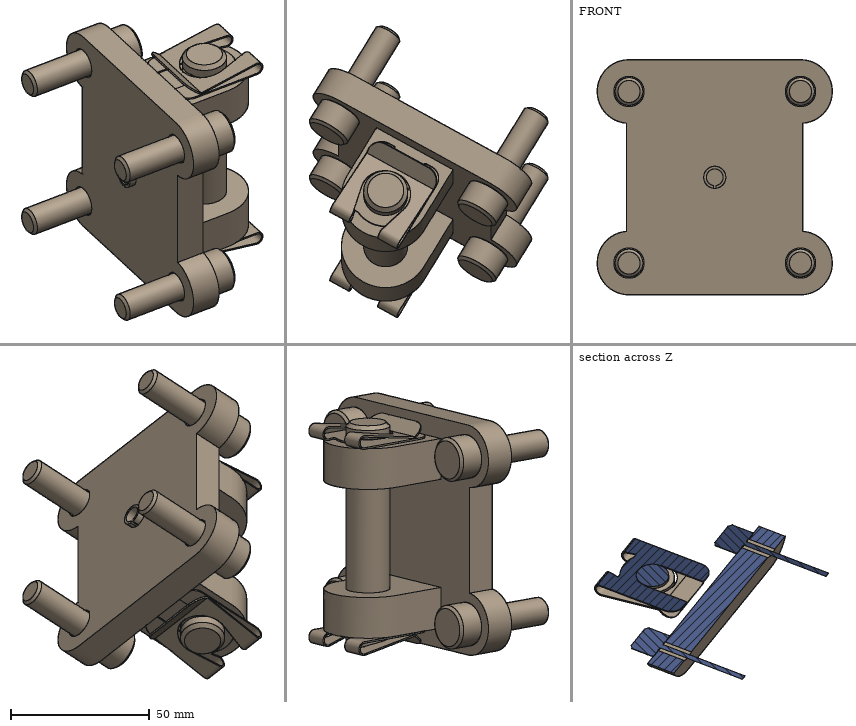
import cadquery as cq
import math

plate_size = 85.0
plate_thickness = 11.0
plate_body_width = 63.75
screw_pitch = 62.0
lobe_radius = (plate_size - screw_pitch) / 2
screw_hole_diameter = 11.0

lug_radius = 16.0
lug_inner_z = 20.0
lug_outer_z = 35.0
pin_standoff = 21.0

pin_diameter = 16.0
pin_length = 83.0
pin_chamfer = 1.45
groove_diameter = 12.0
groove_width = 1.8

screw_diameter = 10.0
screw_length = 35.0
screw_head_diameter = 16.0
screw_head_height = 9.8
screw_chamfer = 1.0
screw_seat_chamfer = 0.25

spring_pin_diameter = 8.0
spring_pin_bore = 6.0
spring_pin_slit = 1.0
spring_pin_depth = 8.0
spring_pin_protrusion = 2.6

clip_width = 28.0
clip_sheet = 0.6
clip_lug_gap = 0.5
clip_loop_radius = 2.55
clip_loop_reach = 16.15
clip_foot_reach = 17.8
clip_bend_reach = 10.5
clip_bend_gap = 0.1
clip_lip_length = 6.8
clip_lip_angle = math.radians(40)
clip_corner_radius = 5.0
clip_mouth_radius = 0.7
clip_loop_window = 12.0
clip_eye_radius = 9.0
clip_bridge_radius = 11.8
clip_bridge_reach = 10.5

screw_spots = [
    (sx * screw_pitch / 2, sz * screw_pitch / 2) for sx in (-1, 1) for sz in (-1, 1)
]
pin_axis_y = plate_thickness + pin_standoff
clip_bottom_z = lug_outer_z + clip_lug_gap
clip_loop_y = clip_loop_reach - clip_loop_radius
clip_loop_z = clip_bottom_z + clip_loop_radius


def cylinder_y(diameter, y_start, y_end, x=0.0, z=0.0):
    """Cylinder along Y from y_start to y_end."""
    axis = cq.Vector(0, 1, 0)
    solid = cq.Solid.makeCylinder(diameter / 2, y_end - y_start, cq.Vector(x, y_start, z), axis)
    return cq.Workplane(obj=solid)


def make_lug(z_bottom):
    """Lug on the back of the plate with a full round around the pin axis."""
    return (
        cq.Workplane("XY", origin=(0, 0, z_bottom))
        .moveTo(-lug_radius, plate_thickness)
        .lineTo(-lug_radius, pin_axis_y)
        .threePointArc((0, pin_axis_y + lug_radius), (lug_radius, pin_axis_y))
        .lineTo(lug_radius, plate_thickness)
        .close()
        .extrude(lug_outer_z - lug_inner_z)
    )


def make_bracket():
    """Plate with corner lobes, two pin lugs and all mating holes."""
    core_height = screw_pitch - lobe_radius
    plate = cq.Workplane("XY").box(
        plate_body_width, plate_thickness, core_height, centered=(True, False, True)
    )
    full_height_strip = cq.Workplane("XY").box(
        screw_pitch, plate_thickness, plate_size, centered=(True, False, True)
    )
    plate = plate.union(full_height_strip)
    for x, z in screw_spots:
        plate = plate.union(cylinder_y(2 * lobe_radius, 0, plate_thickness, x, z))

    bracket = plate.union(make_lug(lug_inner_z)).union(make_lug(-lug_outer_z))
    for x, z in screw_spots:
        bracket = bracket.cut(cylinder_y(screw_hole_diameter, 0, plate_thickness, x, z))
    bracket = bracket.cut(cylinder_y(spring_pin_diameter, 0, spring_pin_depth))
    pin_bore = (
        cq.Workplane("XY", origin=(0, pin_axis_y, 0))
        .circle(pin_diameter / 2)
        .extrude(lug_outer_z, both=True)
    )
    return bracket.cut(pin_bore)


def make_hinge_pin():
    """Chamfered pin with a clip groove just outside each lug."""
    pin = (
        cq.Workplane("XY")
        .circle(pin_diameter / 2)
        .extrude(pin_length / 2, both=True)
        .faces("<Z or >Z")
        .chamfer(pin_chamfer)
    )
    for groove_z in (lug_outer_z, -lug_outer_z - groove_width):
        groove = (
            cq.Workplane("XY", origin=(0, 0, groove_z))
            .circle(pin_diameter / 2)
            .circle(groove_diameter / 2)
            .extrude(groove_width)
        )
        pin = pin.cut(groove)
    return pin.translate((0, pin_axis_y, 0))


def make_screw(x, z):
    """Cap screw through the plate, its head on the back face."""
    head = (
        cylinder_y(screw_head_diameter, plate_thickness, plate_thickness + screw_head_height)
        .faces(">Y")
        .chamfer(screw_chamfer)
        .faces("<Y")
        .chamfer(screw_seat_chamfer)
    )
    shank = (
        cylinder_y(screw_diameter, plate_thickness - screw_length, plate_thickness)
        .faces("<Y")
        .chamfer(screw_chamfer)
    )
    return head.union(shank).translate((x, 0, z))


def make_spring_pin():
    """Slit tube pressed into the middle of the plate, slit on the -Z side."""
    outer_radius = spring_pin_diameter / 2
    inner_radius = spring_pin_bore / 2
    half_slit = spring_pin_slit / 2
    outer_z = -math.sqrt(outer_radius**2 - half_slit**2)
    inner_z = -math.sqrt(inner_radius**2 - half_slit**2)
    return (
        cq.Workplane("XZ", origin=(0, spring_pin_depth, 0))
        .moveTo(-half_slit, inner_z)
        .lineTo(-half_slit, outer_z)
        .threePointArc((0, outer_radius), (half_slit, outer_z))
        .lineTo(half_slit, inner_z)
        .threePointArc((0, inner_radius), (-half_slit, inner_z))
        .close()
        .extrude(spring_pin_depth + spring_pin_protrusion)
    )


def make_folded_sheet():
    """Side profile of the clip, folded over the loop, across the full clip width."""
    inner_radius = clip_loop_radius - clip_sheet
    sheet_top_z = clip_bottom_z + clip_sheet
    bend = cq.Vector(-clip_bend_reach, sheet_top_z + clip_bend_gap)
    loop_center = cq.Vector(clip_loop_y, clip_loop_z)

    to_loop = loop_center - bend
    leaf_angle = math.atan2(to_loop.y, to_loop.x) + math.asin(inner_radius / to_loop.Length)
    leaf_normal = cq.Vector(-math.sin(leaf_angle), math.cos(leaf_angle))
    lip_normal = cq.Vector(math.sin(clip_lip_angle), math.cos(clip_lip_angle))
    lip_direction = cq.Vector(-math.cos(clip_lip_angle), math.sin(clip_lip_angle))

    miter = clip_sheet / (1 + leaf_normal.dot(lip_normal))
    upper_bend = bend + (leaf_normal + lip_normal) * miter
    lip_end = bend + lip_direction * clip_lip_length
    upper_lip_end = lip_end + lip_normal * clip_sheet
    outer_tangent = loop_center + leaf_normal * clip_loop_radius
    inner_tangent = loop_center + leaf_normal * inner_radius

    sheet = (
        cq.Workplane("YZ", origin=(-clip_width / 2, 0, 0))
        .moveTo(-clip_foot_reach, clip_bottom_z)
        .lineTo(clip_loop_y, clip_bottom_z)
        .threePointArc((clip_loop_reach, clip_loop_z), (outer_tangent.x, outer_tangent.y))
        .lineTo(upper_bend.x, upper_bend.y)
        .lineTo(upper_lip_end.x, upper_lip_end.y)
        .lineTo(lip_end.x, lip_end.y)
        .lineTo(bend.x, bend.y)
        .lineTo(inner_tangent.x, inner_tangent.y)
        .threePointArc((clip_loop_reach - clip_sheet, clip_loop_z), (clip_loop_y, sheet_top_z))
        .lineTo(-clip_foot_reach, sheet_top_z)
        .close()
        .extrude(clip_width)
    )
    lip_edge_direction = cq.Vector(0, lip_normal.x, lip_normal.y)
    lip_corners = cq.selectors.ParallelDirSelector(lip_edge_direction)
    return sheet.edges("|Z").fillet(clip_corner_radius).edges(lip_corners).fillet(clip_corner_radius)


def make_keyhole(z_bottom, height):
    """Loop window widening in straight flanks to the round eye around the pin."""
    half_window = clip_loop_window / 2
    corner_distance = math.hypot(half_window, clip_loop_y)
    tangent_angle = math.atan2(clip_loop_y, half_window) - math.acos(clip_eye_radius / corner_distance)
    tangent_x = clip_eye_radius * math.cos(tangent_angle)
    tangent_y = clip_eye_radius * math.sin(tangent_angle)
    return (
        cq.Workplane("XY", origin=(0, 0, z_bottom))
        .moveTo(-half_window, clip_loop_reach)
        .lineTo(-half_window, clip_loop_y)
        .lineTo(-tangent_x, tangent_y)
        .threePointArc((0, -clip_eye_radius), (tangent_x, tangent_y))
        .lineTo(half_window, clip_loop_y)
        .lineTo(half_window, clip_loop_reach)
        .close()
        .extrude(height)
    )


def make_clip():
    """Spring clip on the upper pin groove."""
    upper_leaf_z = clip_bottom_z + clip_sheet
    upper_opening = make_keyhole(upper_leaf_z, 2 * clip_loop_radius)

    shoulder_block = (
        cq.Workplane("XY", origin=(0, 0, clip_bottom_z))
        .rect(clip_width, 2 * clip_bridge_reach)
        .extrude(clip_sheet)
    )
    bridge = (
        cq.Workplane("XY", origin=(0, 0, clip_bottom_z))
        .circle(clip_bridge_radius)
        .extrude(clip_sheet)
    )
    loop_opening = make_keyhole(clip_bottom_z, clip_sheet).cut(shoulder_block).cut(bridge)

    pin_slot = (
        cq.Workplane("XY", origin=(0, 0, clip_bottom_z))
        .moveTo(-groove_diameter / 2, -clip_foot_reach)
        .lineTo(-groove_diameter / 2, 0)
        .threePointArc((0, groove_diameter / 2), (groove_diameter / 2, 0))
        .lineTo(groove_diameter / 2, -clip_foot_reach)
        .close()
        .extrude(clip_sheet)
    )
    clip = make_folded_sheet().cut(upper_opening).cut(loop_opening).cut(pin_slot)
    mouth_corners = cq.selectors.BoxSelector(
        (-clip_loop_window, -clip_foot_reach - clip_sheet, clip_bottom_z - clip_sheet),
        (clip_loop_window, -clip_foot_reach + clip_sheet, clip_bottom_z + 2 * clip_sheet),
    )
    clip = clip.edges("|Z").edges(mouth_corners).fillet(clip_mouth_radius)
    return clip.translate((0, pin_axis_y, 0))


bracket = make_bracket()
hinge_pin = make_hinge_pin()
spring_pin = make_spring_pin()
screws = [make_screw(x, z) for x, z in screw_spots]
upper_clip = make_clip()
clips = [upper_clip, upper_clip.mirror("XY")]

result = cq.Compound.makeCompound(
    [
        bracket.val(),
        hinge_pin.val(),
        spring_pin.val(),
        *[screw.val() for screw in screws],
        *[clip.val() for clip in clips],
    ]
)